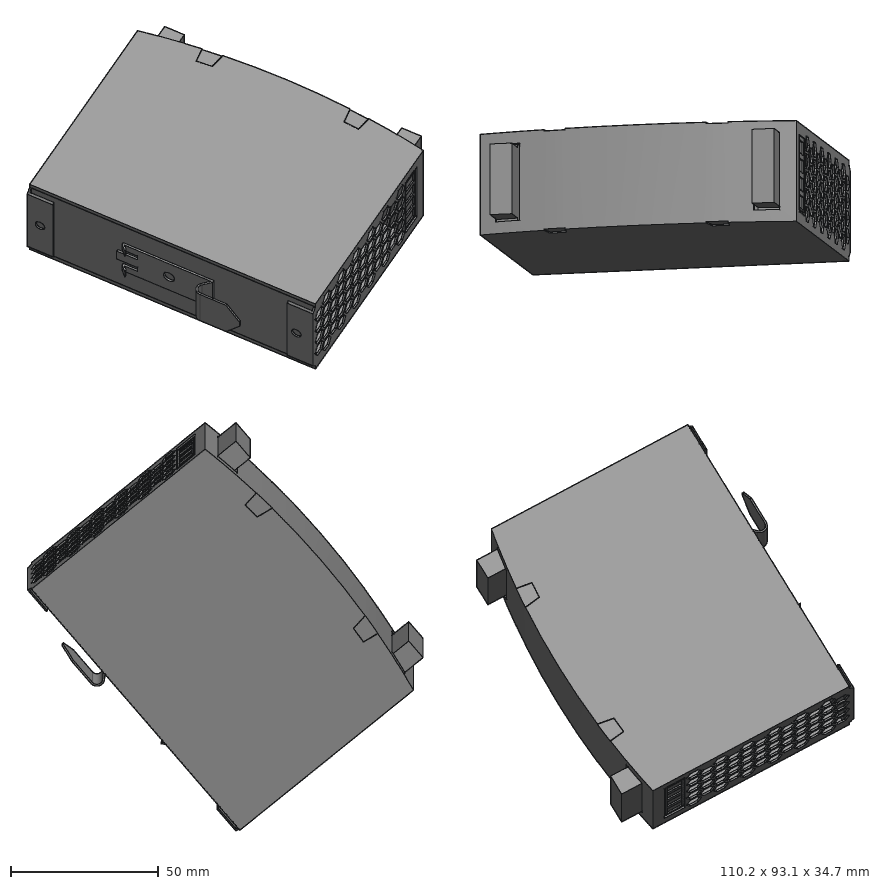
import cadquery as cq
import math

LENGTH = 110.2
HEIGHT = 34.7
CORNER_DEPTH = 76.7
CROWN_DEPTH = 81.9
WALL = 1.7
SHEET = 0.7
PANEL_INSET = 0.1
MID_X = LENGTH / 2
MID_Z = HEIGHT / 2

TAB_REACH = 1.8
TAB_WIDTH = 9.9
TAB_CHAMFER = TAB_REACH
TAB_HOLE_DIAMETER = 3.6
TAB_HOLE_X = (5.0, 103.8)

HEX_PITCH = 6.1
HEX_FLATS = 5.1
HEX_FIRST_Y = 60.6
HEX_COLUMNS = 12
HEX_FULL_ROWS = 5

TERMINAL_REAR = 64.1
TERMINAL_FRONT = 85.6
OPENING_BOTTOM = 4.1
OPENING_TOP = HEIGHT - OPENING_BOTTOM
TERMINAL_OUTER_X = 5.6
TERMINAL_INNER_X = 13.2
OPENING_GAP = 1.1
WINDOW_FRONT = 72.2
FACE_FRONT = 71.3
FACE_INSET = 0.3
WIRE_COUNT = 4
WIRE_PITCH = 6.3
WIRE_WIDTH = 5.6
WIRE_HEIGHT = 4.4
WIRE_DEPTH = 0.5
WIRE_FIRST_Z = 8.2
WIRE_Y = 67.9

NOTCH_DEPTH = 0.4
NOTCH_OUTLINE = [(22.8, 81.5), (23.8, 74.5), (29.6, 74.9), (30.6, 81.5)]

CLIP_WIDTH = 14.0
CLIP_LEFT = 36.0
CLIP_REACH = 7.5
BEND_RADIUS = 2.6
BEND_X = 69.8
PLATE_END = 71.0
TIP_X = 85.1
TIP_SHOULDER_X = 79.8
TIP_WIDTH = 2.0
TONGUE_LEFT = 33.9
TONGUE_WIDTH = 4.2
SLOT_WIDTH = 2.0
SLOT_END = 41.9
BARB_REACH = 2.2
CLIP_HOLE_X = 54.1
CLIP_HOLE_DIAMETER = 4.2


def box(x0, x1, y0, y1, z0, z1):
    """Axis-aligned block between two opposite corners."""
    return cq.Workplane("XY").box(x1 - x0, y1 - y0, z1 - z0, centered=False).translate((x0, y0, z0))


def mirrored(shape):
    """Mirror image of the shape about mid length."""
    return shape.mirror("YZ", (MID_X, 0, 0))


def both_ends(shape):
    """The shape together with its mirror image about mid length."""
    return shape.union(mirrored(shape))


def bowed_block(x0, x1, y0, front_inset, z0, z1):
    """Block whose front is the enclosure bow moved inwards by front_inset."""
    bow = (
        cq.Workplane("XY")
        .workplane(offset=z0)
        .lineTo(LENGTH, 0)
        .lineTo(LENGTH, CORNER_DEPTH - front_inset)
        .threePointArc((MID_X, CROWN_DEPTH - front_inset), (0, CORNER_DEPTH - front_inset))
        .close()
        .extrude(z1 - z0)
    )
    return bow.intersect(box(x0, x1, y0, CROWN_DEPTH, z0, z1))


def enclosure():
    shell = bowed_block(0, LENGTH, 0, 0, 0, HEIGHT)
    cavity = bowed_block(SHEET, LENGTH - SHEET, WALL, WALL, WALL, HEIGHT - WALL)
    panel_recess = box(SHEET, LENGTH - SHEET, 0, PANEL_INSET, WALL, HEIGHT - WALL)
    return shell.cut(cavity).cut(panel_recess)


def mounting_tabs():
    """Side wall extensions folded inwards, with their corners cut at 45 degrees."""
    profile = [
        (WALL, WALL),
        (0, WALL),
        (-TAB_REACH, WALL + TAB_CHAMFER),
        (-TAB_REACH, HEIGHT - WALL - TAB_CHAMFER),
        (0, HEIGHT - WALL),
        (WALL, HEIGHT - WALL),
    ]
    tabs = both_ends(cq.Workplane("YZ").polyline(profile).close().extrude(TAB_WIDTH))
    tabs = tabs.cut(box(SHEET, LENGTH - SHEET, SHEET - TAB_REACH, WALL, 0, HEIGHT))
    for x in TAB_HOLE_X:
        hole = cq.Workplane("XZ", origin=(x, 0, MID_Z)).circle(TAB_HOLE_DIAMETER / 2).extrude(TAB_REACH)
        tabs = tabs.cut(hole)
    return tabs


def vent_holes():
    """Staggered hexagons through both side walls, clear of the rear wall."""
    column_pitch = HEX_PITCH * math.cos(math.radians(30))
    centres = []
    for column in range(HEX_COLUMNS):
        rows = HEX_FULL_ROWS - column % 2
        for row in range(rows):
            z = MID_Z + (row - (rows - 1) / 2) * HEX_PITCH
            centres.append((HEX_FIRST_Y - column * column_pitch, z))
    corner_diameter = HEX_FLATS / math.cos(math.radians(30))
    side = cq.Workplane("YZ").pushPoints(centres).polygon(6, corner_diameter).extrude(SHEET)
    return both_ends(side)


def terminal_openings():
    """Side window and front opening around each terminal block."""
    window = box(0, SHEET, TERMINAL_REAR, WINDOW_FRONT, OPENING_BOTTOM, OPENING_TOP)
    front = box(TERMINAL_OUTER_X, TERMINAL_INNER_X + OPENING_GAP,
                CORNER_DEPTH - WALL, CROWN_DEPTH, OPENING_BOTTOM, OPENING_TOP)
    return both_ends(window.union(front))


def terminal_block(top):
    """Block at the left end: body behind the openings, window face and protruding plug."""
    bottom = OPENING_BOTTOM + OPENING_GAP
    body = bowed_block(SHEET, TERMINAL_INNER_X, TERMINAL_REAR, WALL, OPENING_BOTTOM, OPENING_TOP)
    face = box(FACE_INSET, SHEET, TERMINAL_REAR, FACE_FRONT, bottom, top)
    plug = box(TERMINAL_OUTER_X, TERMINAL_INNER_X, TERMINAL_REAR, TERMINAL_FRONT, bottom, top)
    wire_entries = (
        cq.Workplane("YZ", origin=(FACE_INSET, 0, 0))
        .pushPoints([(WIRE_Y, WIRE_FIRST_Z + i * WIRE_PITCH) for i in range(WIRE_COUNT)])
        .rect(WIRE_WIDTH, WIRE_HEIGHT)
        .extrude(WIRE_DEPTH)
    )
    return body.union(face).union(plug).cut(wire_entries)


def terminal_blocks():
    """The left block fills its opening to the top; the right one leaves a gap there."""
    left = terminal_block(OPENING_TOP)
    right = mirrored(terminal_block(OPENING_TOP - OPENING_GAP))
    return left.union(right)


def snap_notches():
    notch = cq.Workplane("XY").polyline(NOTCH_OUTLINE).close().extrude(NOTCH_DEPTH)
    return both_ends(notch.union(notch.translate((0, 0, HEIGHT - NOTCH_DEPTH))))


def spring_clip():
    """Bent strip: flat plate, 45-degree ramp, round bend and free end with a pointed tip."""
    diagonal = math.sqrt(0.5)
    inner_radius = BEND_RADIUS - SHEET
    bend_y = BEND_RADIUS - CLIP_REACH

    def on_bend(radius, angle):
        a = math.radians(angle)
        return (BEND_X + radius * math.cos(a), bend_y + radius * math.sin(a))

    def ramp_offset(radius):
        """X minus Y along the 45-degree ramp tangent to the bend."""
        return BEND_X - bend_y - radius / diagonal

    strip = (
        cq.Workplane("XY")
        .moveTo(CLIP_LEFT, PANEL_INSET)
        .lineTo(PLATE_END, PANEL_INSET)
        .lineTo(PLATE_END, PLATE_END - ramp_offset(inner_radius))
        .lineTo(*on_bend(inner_radius, 135))
        .threePointArc(on_bend(inner_radius, 200), on_bend(inner_radius, 270))
        .lineTo(TIP_X, SHEET - CLIP_REACH)
        .lineTo(TIP_X, -CLIP_REACH)
        .lineTo(BEND_X, -CLIP_REACH)
        .threePointArc(on_bend(BEND_RADIUS, 200), on_bend(BEND_RADIUS, 135))
        .lineTo(ramp_offset(BEND_RADIUS) - SHEET, -SHEET)
        .lineTo(CLIP_LEFT + SHEET / diagonal, -SHEET)
        .lineTo(CLIP_LEFT + BARB_REACH, SHEET / diagonal - SHEET - BARB_REACH)
        .lineTo(CLIP_LEFT + BARB_REACH, -SHEET - BARB_REACH)
        .lineTo(CLIP_LEFT, -SHEET)
        .close()
        .extrude(CLIP_WIDTH)
        .translate((0, 0, MID_Z - CLIP_WIDTH / 2))
    )
    outline = (
        cq.Workplane("XZ", origin=(0, PANEL_INSET, MID_Z))
        .polyline([
            (CLIP_LEFT, -CLIP_WIDTH / 2),
            (TIP_SHOULDER_X, -CLIP_WIDTH / 2),
            (TIP_X, -TIP_WIDTH / 2),
            (TIP_X, TIP_WIDTH / 2),
            (TIP_SHOULDER_X, CLIP_WIDTH / 2),
            (CLIP_LEFT, CLIP_WIDTH / 2),
        ])
        .close()
        .extrude(CLIP_REACH + PANEL_INSET)
    )
    slot_half = TONGUE_WIDTH / 2 + SLOT_WIDTH
    slots = box(CLIP_LEFT, SLOT_END, -CLIP_REACH, PANEL_INSET, MID_Z - slot_half, MID_Z + slot_half)
    tongue = box(TONGUE_LEFT, SLOT_END, -SHEET, PANEL_INSET,
                 MID_Z - TONGUE_WIDTH / 2, MID_Z + TONGUE_WIDTH / 2)
    hole = (
        cq.Workplane("XZ", origin=(CLIP_HOLE_X, PANEL_INSET, MID_Z))
        .circle(CLIP_HOLE_DIAMETER / 2)
        .extrude(SHEET + PANEL_INSET)
    )
    return strip.intersect(outline).cut(slots).union(tongue).cut(hole)


result = (
    enclosure()
    .union(mounting_tabs())
    .cut(vent_holes())
    .cut(terminal_openings())
    .union(terminal_blocks())
    .cut(snap_notches())
    .union(spring_clip())
)